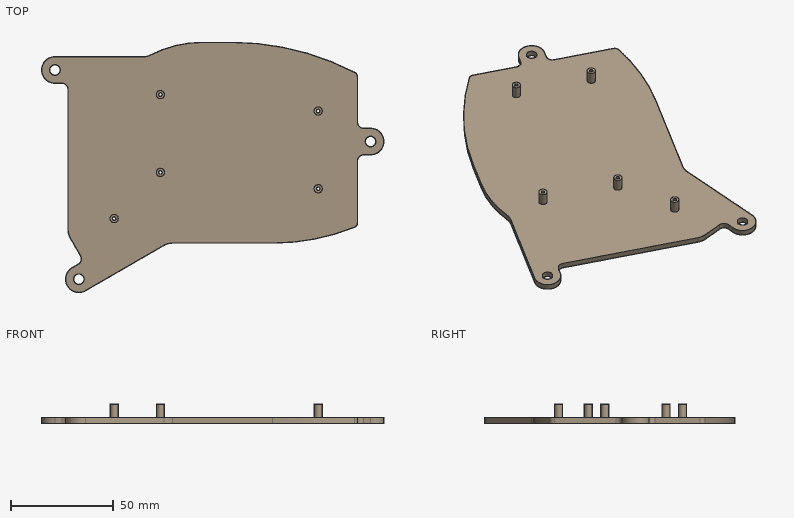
import cadquery as cq
import math

length = 167.4
width = 122.4
height = 9.5
plate_thickness = 3.0

lug_radius = 6.5
lug_hole_diameter = 5.0
lug_fillet = 3.0
right_lug_y = 73.8
lower_lug_x = 18.2
lug_reach = 2 * lug_radius
lug_offset = 6.4
lug_tilt = 30.0

standoff_diameter = 4.0
standoff_bore = 1.6
standoff_pitch_x = 77.2
standoff_pitch_y = 38.0
left_pair_x = 58.1
left_pair_y = 58.8
right_pair_y = 50.7
lone_standoff = (35.5, 36.2)

left_x = lug_radius + lug_offset
right_x = length - left_x
shoulder_drop = 7.0
shoulder_y = width - shoulder_drop
lower_y = 24.1
crown_left_x = 78.7
crown_right_x = 92.9
crown_left_radius = 55.2
crown_right_radius = 130.5
belly_start_x = 113.0
belly_radius = 107.1

bend_radius = 8.4
shoulder_radius = 6.7
right_corner_radius = 2.5

left_lug = (lug_radius, shoulder_y - lug_radius)
right_lug = (length - lug_radius, right_lug_y)
lower_lug = (lower_lug_x, lug_radius)
tilt = math.radians(lug_tilt)


def along_lower_lug(inward, sideways):
    """Point given inward along the lower lug and sideways to its upper left."""
    x = lower_lug[0] + inward * math.cos(tilt) - sideways * math.sin(tilt)
    y = lower_lug[1] + inward * math.sin(tilt) + sideways * math.cos(tilt)
    return (x, y)


def arc_rise(radius, run):
    """Departure from the tangent of an arc after a given run along the tangent."""
    return radius - math.sqrt(radius**2 - run**2)


def arc_run(radius, rise):
    """Run along the tangent after which an arc has departed by a given rise."""
    return math.sqrt(radius**2 - (radius - rise) ** 2)


foot = along_lower_lug(lug_offset, -lug_radius)
left_bend = (left_x, foot[1] + (foot[0] - left_x) / math.tan(tilt))
lower_bend = (foot[0] + (lower_y - foot[1]) / math.tan(tilt), lower_y)
lower_right = (right_x, lower_y + arc_rise(belly_radius, right_x - belly_start_x))
upper_right = (right_x, width - arc_rise(crown_right_radius, right_x - crown_right_x))
shoulder = (crown_left_x - arc_run(crown_left_radius, shoulder_drop), shoulder_y)


def round_corner(body, corner, radius):
    """Fillet the vertical edge of the plate that stands on the given corner."""
    edge = cq.selectors.NearestToPointSelector((corner[0], corner[1], plate_thickness / 2))
    return body.edges("|Z").edges(edge).fillet(radius)


def make_plate():
    outline = (
        cq.Workplane("XY")
        .moveTo(*foot)
        .lineTo(*lower_bend)
        .lineTo(belly_start_x, lower_y)
        .tangentArcPoint(lower_right, relative=False)
        .lineTo(*upper_right)
    )
    right_mid_run = (right_x - crown_right_x) / 2
    left_mid_run = (crown_left_x - shoulder[0]) / 2
    right_mid = (crown_right_x + right_mid_run, width - arc_rise(crown_right_radius, right_mid_run))
    left_mid = (crown_left_x - left_mid_run, width - arc_rise(crown_left_radius, left_mid_run))
    outline = (
        outline.threePointArc(right_mid, (crown_right_x, width))
        .lineTo(crown_left_x, width)
        .threePointArc(left_mid, shoulder)
        .lineTo(left_x, shoulder_y)
        .lineTo(*left_bend)
        .close()
    )
    plate = outline.extrude(plate_thickness)
    plate = round_corner(plate, left_bend, bend_radius)
    plate = round_corner(plate, lower_bend, bend_radius)
    plate = round_corner(plate, shoulder, shoulder_radius)
    plate = round_corner(plate, lower_right, right_corner_radius)
    return round_corner(plate, upper_right, right_corner_radius)


def make_lug(center, inward_angle):
    """Round-ended tab reaching from its hole into the plate."""
    tab = (
        cq.Workplane("XY")
        .moveTo(0, lug_radius)
        .threePointArc((-lug_radius, 0), (0, -lug_radius))
        .lineTo(lug_reach, -lug_radius)
        .lineTo(lug_reach, lug_radius)
        .close()
        .extrude(plate_thickness)
    )
    return tab.rotate((0, 0, 0), (0, 0, 1), inward_angle).translate((*center, 0))


def cylinders(points, diameter, depth):
    return cq.Workplane("XY").pushPoints(points).circle(diameter / 2).extrude(depth)


result = make_plate()
for center, inward_angle in [(left_lug, 0), (right_lug, 180), (lower_lug, lug_tilt)]:
    result = result.union(make_lug(center, inward_angle))

lug_corners = [
    (left_x, left_lug[1] - lug_radius),
    (right_x, right_lug[1] - lug_radius),
    (right_x, right_lug[1] + lug_radius),
    along_lower_lug(lug_offset, lug_radius),
]
for corner in lug_corners:
    result = round_corner(result, corner, lug_fillet)

result = result.cut(cylinders([left_lug, right_lug, lower_lug], lug_hole_diameter, plate_thickness))

standoffs = [lone_standoff]
for pair_x, pair_y in [(left_pair_x, left_pair_y), (left_pair_x + standoff_pitch_x, right_pair_y)]:
    standoffs += [(pair_x, pair_y), (pair_x, pair_y + standoff_pitch_y)]
result = result.union(cylinders(standoffs, standoff_diameter, height))
result = result.cut(cylinders(standoffs, standoff_bore, height))